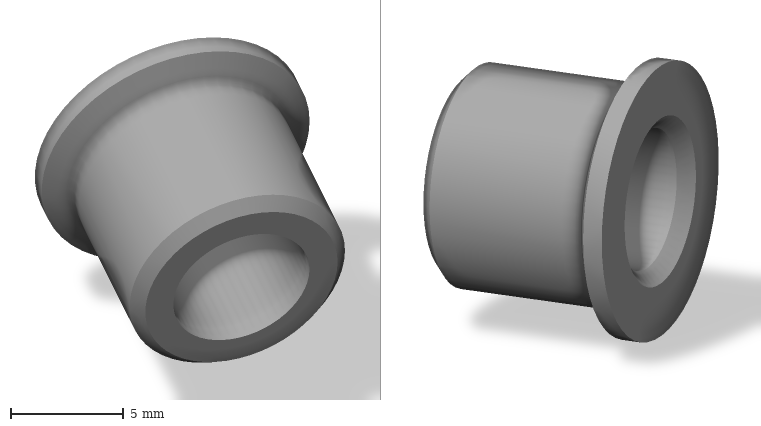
import cadquery as cq
import math

length = 9.52
flange_radius = 12.7 / 2
body_radius = 10.21 / 2
bore_radius = 6.45 / 2
rim_width = 0.91
body_start = 1.83
cone_angle = math.radians(62)
end_chamfer = 0.55
countersink_radius = 7.75 / 2
countersink_depth = countersink_radius - bore_radius

corner_x = rim_width + (flange_radius - body_radius) / math.tan(cone_angle)
tangent_length = body_start - corner_x
fillet_radius = tangent_length / math.tan(cone_angle / 2)
fillet_start = (
    corner_x - tangent_length * math.cos(cone_angle),
    body_radius + tangent_length * math.sin(cone_angle),
)
fillet_middle = (
    body_start - fillet_radius * math.sin(cone_angle / 2),
    body_radius + fillet_radius * (1 - math.cos(cone_angle / 2)),
)

half_section = (
    cq.Workplane("XY")
    .moveTo(0, countersink_radius)
    .lineTo(0, flange_radius)
    .lineTo(rim_width, flange_radius)
    .lineTo(*fillet_start)
    .threePointArc(fillet_middle, (body_start, body_radius))
    .lineTo(length - end_chamfer, body_radius)
    .lineTo(length, body_radius - end_chamfer)
    .lineTo(length, bore_radius)
    .lineTo(countersink_depth, bore_radius)
    .close()
)

result = half_section.revolve(360, (0, 0, 0), (1, 0, 0))